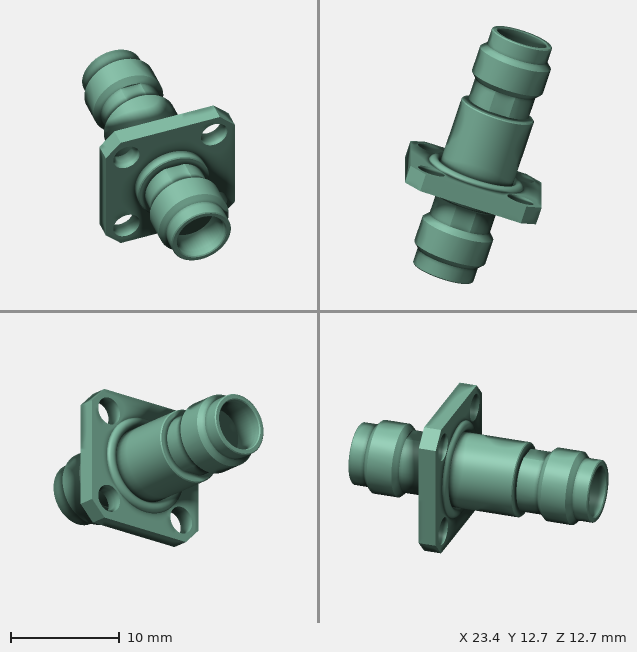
import cadquery as cq

length = 23.4

tip_length = 1.5
tip_radius = 2.92
collar_radius = 3.45
collar_length = 2.39
back_cone_length = 0.55
neck_length = 2.0
groove_length = 0.2
groove_radius = 2.43
rim_chamfer = 0.1

flat_distance = 2.75

bore_radius = 2.39
bore_depth = 3.1
bore_chamfer = 0.1

barrel_radius = 3.5
barrel_chamfer = 0.1

flange_side = 12.7
flange_start = 13.62
flange_thickness = 1.65
corner_chamfer = 1.47
hole_diameter = 2.6
hole_spacing = 8.63

ring_section_diameter = 1.1
ring_protrusion = 0.42

front_cone_length = collar_radius - tip_radius
collar_start = tip_length + front_cone_length
collar_end = collar_start + collar_length
neck_start = collar_end + back_cone_length
neck_end = neck_start + neck_length
barrel_start = neck_end + groove_length
ring_section_radius = ring_section_diameter / 2
ring_center_radius = barrel_radius + ring_section_radius
ring_center_x = flange_start - ring_protrusion + ring_section_radius


def revolve_about_x(points):
    """Solid of revolution about X from a closed outline of (x, radius) points."""
    return cq.Workplane("XY").polyline(points).close().revolve(360, (0, 0, 0), (1, 0, 0))


def make_end():
    """Plug end at -X, from its end face to the start of the barrel."""
    end = revolve_about_x([
        (0, 0),
        (0, tip_radius - rim_chamfer),
        (rim_chamfer, tip_radius),
        (tip_length, tip_radius),
        (collar_start, collar_radius),
        (collar_end, collar_radius),
        (neck_start, tip_radius),
        (neck_end, tip_radius),
        (neck_end, groove_radius),
        (barrel_start, groove_radius),
        (barrel_start, 0),
    ])
    bore = revolve_about_x([
        (0, 0),
        (0, bore_radius + bore_chamfer),
        (bore_chamfer, bore_radius),
        (bore_depth, bore_radius),
        (bore_depth, 0),
    ])
    return cut_neck_flats(end.cut(bore))


def cut_neck_flats(end):
    """Cut two parallel flats over the length of the neck."""
    cut_height = tip_radius - flat_distance
    for side in (1, -1):
        cutter = cq.Workplane("XY").box(neck_length, 2 * tip_radius, cut_height).translate(
            ((neck_start + neck_end) / 2, 0, side * (flat_distance + cut_height / 2))
        )
        end = end.cut(cutter)
    return end


def make_barrel():
    barrel = cq.Workplane("YZ", origin=(barrel_start, 0, 0)).circle(barrel_radius)
    return barrel.extrude(length - 2 * barrel_start).faces("<X or >X").chamfer(barrel_chamfer)


def make_flange():
    """Square plate with chamfered corners and four mounting holes."""
    plate = cq.Workplane("YZ", origin=(flange_start, 0, 0)).rect(flange_side, flange_side)
    plate = plate.extrude(flange_thickness).edges("|X").chamfer(corner_chamfer)
    holes = cq.Workplane("YZ", origin=(flange_start, 0, 0))
    holes = holes.rect(hole_spacing, hole_spacing, forConstruction=True).vertices()
    return plate.cut(holes.circle(hole_diameter / 2).extrude(flange_thickness))


def make_ring():
    section = cq.Workplane("XY").center(ring_center_x, ring_center_radius).circle(ring_section_radius)
    return section.revolve(360, (0, -ring_center_radius, 0), (1, -ring_center_radius, 0))


def make_housing(ring):
    """Barrel, flange and both plug ends in one piece, with a seat matching the ring."""
    near_end = make_end()
    far_end = near_end.mirror("YZ", (length / 2, 0, 0))
    return make_barrel().union(make_flange()).union(near_end).union(far_end).cut(ring)


sealing_ring = make_ring()
housing = make_housing(sealing_ring)

result = cq.Compound.makeCompound([housing.val(), sealing_ring.val()])